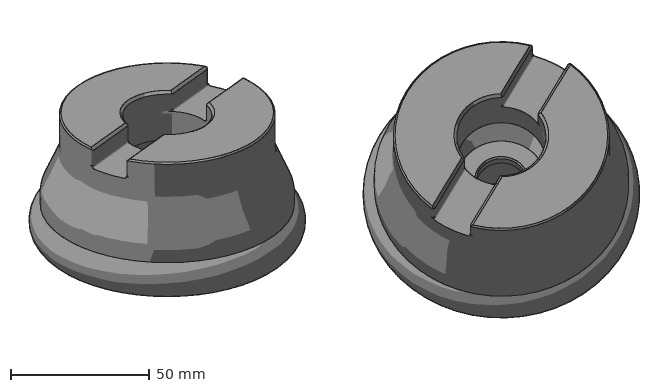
import cadquery as cq
import math

TUBE_RADIUS = 8.0
BASE_RADIUS = 50.0
TUBE_CENTRE_RADIUS = BASE_RADIUS - TUBE_RADIUS

TOTAL_HEIGHT = 52.0
NECK_RADIUS = 39.0
SKIRT_RADIUS = 46.0
CONE_TOP = 37.0
CONE_BOTTOM = 21.0
CONE_FILLET = 5.0
TOP_CHAMFER = 0.6
SPLIT_HEIGHT = TUBE_RADIUS + math.sqrt(TUBE_RADIUS**2 - (SKIRT_RADIUS - TUBE_CENTRE_RADIUS)**2)

THROUGH_DIAMETER = 18.0
THROUGH_CHAMFER = 0.6
SEAT_DIAMETER = 32.0
SEAT_BOTTOM = 32.4
MOUTH_DIAMETER = 32.2

CHAMBER_DIAMETER = 45.1
CHAMBER_WALL = 0.6
CHAMBER_CONE = (CHAMBER_DIAMETER - SEAT_DIAMETER) / 2
CHAMBER_WALL_TOP = SEAT_BOTTOM - CHAMBER_CONE
CHAMBER_WALL_BOTTOM = CHAMBER_WALL_TOP - CHAMBER_WALL
CHAMBER_FLOOR = CHAMBER_WALL_BOTTOM - CHAMBER_CONE

SLOT_WIDTH = 14.6
SLOT_DEPTH = 8.0
SLOT_FLOOR = TOTAL_HEIGHT - SLOT_DEPTH
EDGE_CHAMFER = 1.0
CORNER_FILLET = 0.8
WALL_BOTTOM = SLOT_FLOOR + CORNER_FILLET

SELECT_MARGIN = 0.1


def revolve_profile(profile):
    """Turn a closed radius-height profile about the Z axis."""
    return profile.close().revolve(360, (0, 0, 0), (0, 1, 0))


def make_base():
    """Disc with a round rim and a plain through hole."""
    hole_radius = THROUGH_DIAMETER / 2
    profile = (
        cq.Workplane("XZ")
        .moveTo(hole_radius, 0)
        .lineTo(TUBE_CENTRE_RADIUS, 0)
        .threePointArc((BASE_RADIUS, TUBE_RADIUS), (SKIRT_RADIUS, SPLIT_HEIGHT))
        .lineTo(hole_radius, SPLIT_HEIGHT)
    )
    return revolve_profile(profile)


def make_blank():
    """Neck, cone and skirt with blended cone ends."""
    profile = (
        cq.Workplane("XZ")
        .moveTo(0, SPLIT_HEIGHT)
        .lineTo(SKIRT_RADIUS, SPLIT_HEIGHT)
        .lineTo(SKIRT_RADIUS, CONE_BOTTOM)
        .lineTo(NECK_RADIUS, CONE_TOP)
        .lineTo(NECK_RADIUS, TOTAL_HEIGHT)
        .lineTo(0, TOTAL_HEIGHT)
    )
    blank = revolve_profile(profile)
    for height in (CONE_BOTTOM, CONE_TOP):
        ring = cq.selectors.BoxSelector(
            (-BASE_RADIUS, -BASE_RADIUS, height - SELECT_MARGIN),
            (BASE_RADIUS, BASE_RADIUS, height + SELECT_MARGIN),
        )
        blank = blank.edges("%CIRCLE").edges(ring).fillet(CONE_FILLET)
    return blank.faces(">Z").edges().chamfer(TOP_CHAMFER)


def make_bore():
    """Cutter for the through hole, the chamber, the seat and the slightly wider mouth."""
    hole_radius = THROUGH_DIAMETER / 2
    seat_radius = SEAT_DIAMETER / 2
    chamber_radius = CHAMBER_DIAMETER / 2
    mouth_radius = MOUTH_DIAMETER / 2
    profile = (
        cq.Workplane("XZ")
        .lineTo(hole_radius, 0)
        .lineTo(hole_radius, CHAMBER_FLOOR - THROUGH_CHAMFER)
        .lineTo(hole_radius + THROUGH_CHAMFER, CHAMBER_FLOOR)
        .lineTo(seat_radius, CHAMBER_FLOOR)
        .lineTo(chamber_radius, CHAMBER_WALL_BOTTOM)
        .lineTo(chamber_radius, CHAMBER_WALL_TOP)
        .lineTo(seat_radius, SEAT_BOTTOM)
        .lineTo(seat_radius, SLOT_FLOOR - EDGE_CHAMFER)
        .lineTo(mouth_radius, SLOT_FLOOR)
        .lineTo(mouth_radius, TOTAL_HEIGHT - EDGE_CHAMFER)
        .lineTo(mouth_radius + EDGE_CHAMFER, TOTAL_HEIGHT)
        .lineTo(0, TOTAL_HEIGHT)
    )
    return revolve_profile(profile)


def make_upper_slot():
    """Cutter for the straight slot walls with flared top edges, above the floor fillets."""
    half = SLOT_WIDTH / 2
    shoulder = TOTAL_HEIGHT - EDGE_CHAMFER
    flare = half + EDGE_CHAMFER
    outline = [
        (-half, WALL_BOTTOM),
        (half, WALL_BOTTOM),
        (half, shoulder),
        (flare, TOTAL_HEIGHT),
        (-flare, TOTAL_HEIGHT),
        (-half, shoulder),
    ]
    return cq.Workplane("XZ").polyline(outline).close().extrude(BASE_RADIUS, both=True)


def make_slot_trough():
    """Cutter for the bottom of the slot, rounded along both floor corners."""
    half = SLOT_WIDTH / 2
    half_floor = half - CORNER_FILLET
    return (
        cq.Workplane("XZ")
        .moveTo(-half, WALL_BOTTOM)
        .radiusArc((-half_floor, SLOT_FLOOR), -CORNER_FILLET)
        .lineTo(half_floor, SLOT_FLOOR)
        .radiusArc((half, WALL_BOTTOM), -CORNER_FILLET)
        .close()
        .extrude(BASE_RADIUS, both=True)
    )


def round_wall_ends(body):
    """Round the upright edges where the slot walls meet the neck and the bore."""
    slot_box = cq.selectors.BoxSelector(
        (-SLOT_WIDTH, -BASE_RADIUS, WALL_BOTTOM), (SLOT_WIDTH, BASE_RADIUS, TOTAL_HEIGHT)
    )
    return body.edges("|Z").edges(slot_box).fillet(CORNER_FILLET)


def make_body():
    """Blank with the stepped bore and the slot cut into it."""
    body = make_blank().cut(make_upper_slot()).cut(make_bore())
    return round_wall_ends(body).cut(make_slot_trough())


base = make_base()
body = make_body()
result = cq.Compound.makeCompound([base.val(), body.val()])